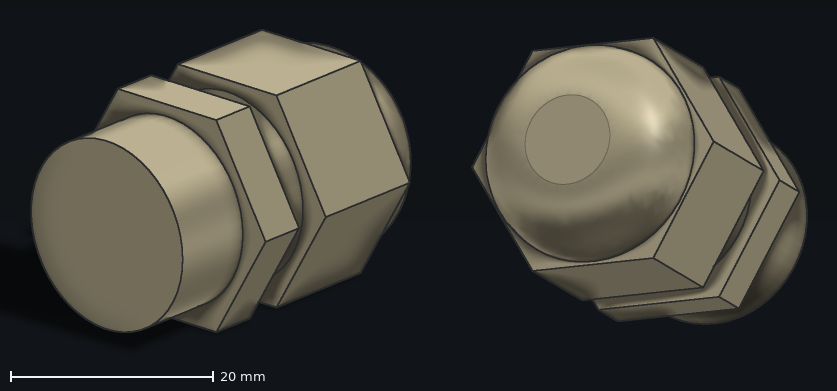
import cadquery as cq
import math

total_length = 37.1
hex_across_flats = 22.52
stem_diameter = 20.0
thread_length = 9.0
collar_thickness = 5.0
neck_length = 4.0
cap_hex_length = 12.6
dome_diameter = 21.9
dome_edge_radius = 6.38

hex_across_corners = hex_across_flats / math.cos(math.pi / 6)
front_y = -total_length / 2
collar_y = front_y + thread_length
cap_y = collar_y + collar_thickness + neck_length
dome_y = cap_y + cap_hex_length
dome_height = total_length / 2 - dome_y
stem_length = cap_y - front_y


def plane_at(y):
    """Plane across the gland axis at y, with its normal toward +Y."""
    return cq.Workplane(cq.Plane(origin=(0, y, 0), xDir=(1, 0, 0), normal=(0, 1, 0)))


def hex_prism(y, length):
    """Hexagonal prism with corners on the X axis."""
    return plane_at(y).polygon(6, hex_across_corners).extrude(length)


def make_stem():
    """Round stem that carries the collar and butts against the cap."""
    return plane_at(front_y).circle(stem_diameter / 2).extrude(stem_length)


def make_collar():
    """Hexagonal ring around the stem."""
    bore = plane_at(collar_y).circle(stem_diameter / 2).extrude(collar_thickness)
    return hex_prism(collar_y, collar_thickness).cut(bore)


def make_cap():
    """Hexagonal cap nut with a rounded dome on its far end."""
    dome = plane_at(dome_y).circle(dome_diameter / 2).extrude(dome_height)
    dome = dome.faces(">Y").edges().fillet(dome_edge_radius)
    return hex_prism(cap_y, cap_hex_length).union(dome)


stem = make_stem()
collar = make_collar()
cap = make_cap()

result = cq.Compound.makeCompound([stem.val(), collar.val(), cap.val()])